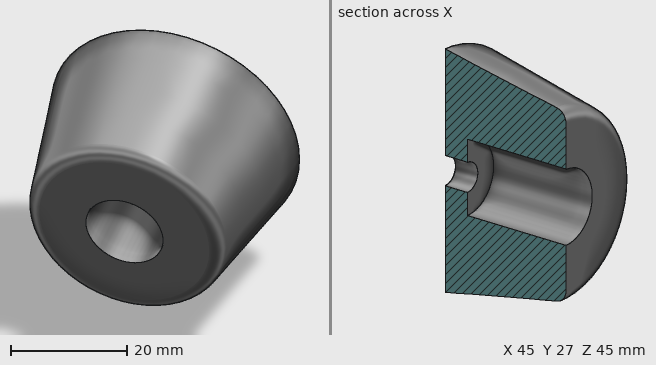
import cadquery as cq

height = 27.0
wide_diameter = 45.0
narrow_diameter = 35.0
edge_radius = 2.5
screw_hole_diameter = 5.5
counterbore_diameter = 14.0
floor_thickness = 5.0
counterbore_depth = height - floor_thickness


def tapered_body():
    """Solid cone frustum with its narrow rim rounded."""
    frustum = (
        cq.Workplane("XY")
        .moveTo(0, 0)
        .lineTo(wide_diameter / 2, 0)
        .lineTo(narrow_diameter / 2, -height)
        .lineTo(0, -height)
        .close()
        .revolve(360, (0, 0, 0), (0, 1, 0))
    )
    return frustum.faces("<Y").edges().fillet(edge_radius)


def cut_counterbored_hole(body):
    """Screw hole right through, counterbored from the narrow face."""
    return (
        body.faces("<Y")
        .workplane(centerOption="CenterOfMass")
        .cboreHole(screw_hole_diameter, counterbore_diameter, counterbore_depth)
    )


result = cut_counterbored_hole(tapered_body())